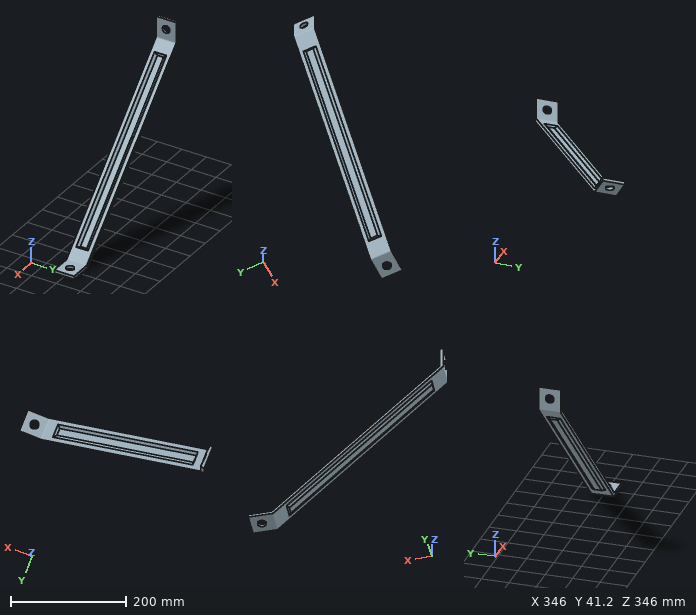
import cadquery as cq
import math

span = 346.0
width = 41.2
thickness = 6.5
bend_radius = 3.5
flange_length = 44.3
hole_diameter = 14.5
hole_inset = width / 2

press_width = 24.2
rib_end = 22.5
rib_depth = 2.8
rib_face_width = 13.5
recess_end = 25.0
recess_depth = 3.8
recess_floor_width = 12.8

outer_sum = span - flange_length
inner_sum = outer_sum + thickness * math.sqrt(2)
inner_bend = inner_sum - thickness


def bent_strip():
    profile = [
        (0, span),
        (0, outer_sum),
        (outer_sum, 0),
        (span, 0),
        (span, thickness),
        (inner_bend, thickness),
        (thickness, inner_bend),
        (thickness, span),
    ]
    strip = cq.Workplane("XZ").polyline(profile).close().extrude(width / 2, both=True)
    bends = [
        (0, outer_sum),
        (outer_sum, 0),
        (inner_bend, thickness),
        (thickness, inner_bend),
    ]
    for x, z in bends:
        bend_edge = cq.selectors.NearestToPointSelector((x, 0, z))
        strip = strip.edges("|Y").edges(bend_edge).fillet(bend_radius)
    return strip


def tapered_bar(face_sum, end, depth, narrow_width):
    """Bar sunk down from a slope face, narrowing with depth, with 45 degree ends."""
    length = (face_sum - 2 * end) * math.sqrt(2)
    face = cq.Plane(
        origin=(face_sum / 2, 0, face_sum / 2),
        xDir=(1, 0, -1),
        normal=(-1, 0, -1),
    )
    return (
        cq.Workplane(face)
        .rect(length, press_width)
        .workplane(offset=depth)
        .rect(length - 2 * depth, narrow_width)
        .loft(combine=True)
    )


def flange_holes():
    hole_place = span - hole_inset
    radius = hole_diameter / 2
    base_hole = cq.Workplane("XY").center(hole_place, 0).circle(radius).extrude(thickness)
    wall_hole = cq.Workplane("YZ").center(0, hole_place).circle(radius).extrude(thickness)
    return base_hole.union(wall_hole)


rib = tapered_bar(outer_sum, rib_end, rib_depth, rib_face_width)
recess = tapered_bar(inner_sum, recess_end, recess_depth, recess_floor_width)
result = bent_strip().union(rib).cut(recess).cut(flange_holes())